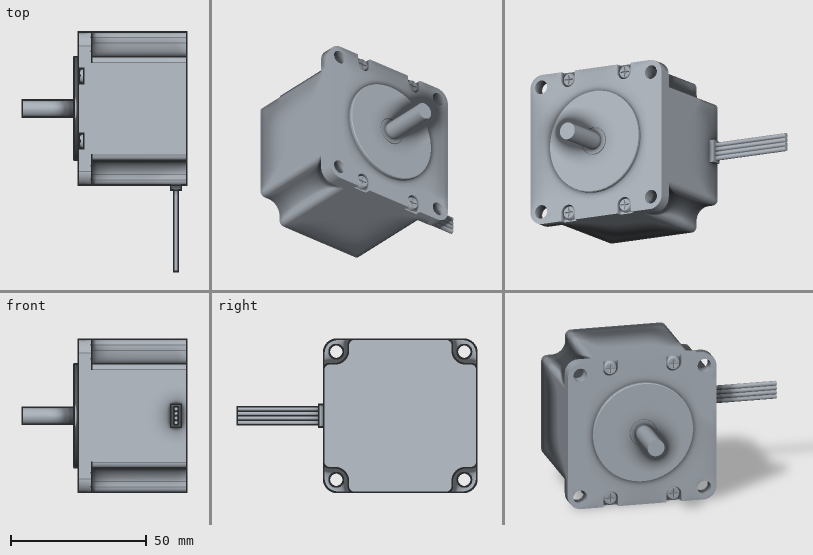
import cadquery as cq


body_width = 56.4
half_width = body_width / 2
body_length = 40.0
flange_thickness = 5.0
flange_corner_radius = 5.0
mount_hole_diameter = 5.1
mount_hole_spacing = 47.1

relief_inset = 11.1
relief_edge_radius = 2.0
relief_arc_radius = 5.0

pilot_diameter = 38.1
pilot_height = 1.6
pilot_chamfer = 0.3
shaft_diameter = 6.35
shaft_reach = 20.55
bearing_diameter = 9.7
bearing_bore_diameter = 10.4
bearing_gap_depth = 0.4

screw_spacing = 24.0
screw_edge_distance = 3.1
pocket_width = 5.65
pocket_depth = 2.1
screw_head_diameter = 5.4
screw_face_diameter = 4.2
screw_head_height = 1.7
screw_dome_bulge = 0.2
cross_length = 3.7
cross_width = 0.4
cross_depth = 0.8
dimple_diameter = 2.65
dimple_floor_diameter = 0.8
dimple_depth = 0.2

connector_length = 4.0
connector_height = 8.3
connector_depth = 1.85
connector_back_distance = 4.0
wire_count = 4
wire_pitch = 1.7
wire_diameter = 1.8
overall_depth = 88.2


def cylinder(start_x, end_x, diameter):
    """Round bar on the motor axis between two X positions."""
    return cq.Workplane("YZ", origin=(start_x, 0, 0)).circle(diameter / 2).extrude(end_x - start_x)


def make_corner_relief():
    """Material removed from the +Y +Z body corner: a hollow arc between two walls with rounded edges."""
    rim = half_width
    edge_start = rim - relief_inset
    wall = edge_start + relief_edge_radius
    edge_end = rim - relief_edge_radius
    arc_center = wall + relief_arc_radius
    diagonal = 0.5 ** 0.5
    edge_mid = relief_edge_radius * diagonal
    arc_mid = arc_center - relief_arc_radius * diagonal
    return (
        cq.Workplane("YZ", origin=(flange_thickness, 0, 0))
        .moveTo(edge_start, rim)
        .threePointArc((edge_start + edge_mid, edge_end + edge_mid), (wall, edge_end))
        .lineTo(wall, arc_center)
        .threePointArc((arc_mid, arc_mid), (arc_center, wall))
        .lineTo(edge_end, wall)
        .threePointArc((edge_end + edge_mid, edge_start + edge_mid), (rim, edge_start))
        .lineTo(rim, rim)
        .close()
        .extrude(body_length - flange_thickness)
    )


def make_body():
    """Rounded flange with mounting holes, and the body with its relieved corners behind it."""
    flange = (
        cq.Workplane("YZ")
        .rect(body_width, body_width)
        .extrude(flange_thickness)
        .edges("|X")
        .fillet(flange_corner_radius)
        .faces("<X")
        .workplane(origin=(0, 0, 0))
        .rect(mount_hole_spacing, mount_hole_spacing, forConstruction=True)
        .vertices()
        .hole(mount_hole_diameter)
    )
    housing = (
        cq.Workplane("YZ", origin=(flange_thickness, 0, 0))
        .rect(body_width, body_width)
        .extrude(body_length - flange_thickness)
    )
    relief = make_corner_relief()
    for quarter_turn in range(4):
        housing = housing.cut(relief.rotate((0, 0, 0), (1, 0, 0), 90 * quarter_turn))
    return flange.union(housing)


def make_pilot_and_shaft():
    """Chamfered pilot boss, a thin ring gap around the bearing, and the shaft."""
    pilot = cylinder(-pilot_height, 0, pilot_diameter).faces("<X").chamfer(pilot_chamfer)
    gap_end = bearing_gap_depth - pilot_height
    bearing_gap = cylinder(-pilot_height, gap_end, bearing_bore_diameter).cut(
        cylinder(-pilot_height, gap_end, bearing_diameter)
    )
    return pilot.cut(bearing_gap).union(cylinder(-shaft_reach, 0, shaft_diameter))


def make_screw_pocket():
    """Pocket open at the +Z edge of the flange, centered on Y = 0 with a round lower end."""
    half_pocket = pocket_width / 2
    center_z = half_width - screw_edge_distance
    return (
        cq.Workplane("YZ")
        .moveTo(-half_pocket, half_width)
        .lineTo(-half_pocket, center_z)
        .threePointArc((0, center_z - half_pocket), (half_pocket, center_z))
        .lineTo(half_pocket, half_width)
        .close()
        .extrude(pocket_depth)
    )


def make_screw():
    """Domed head on the pocket floor, with a cross recess and a shallow tapered center dimple."""
    center_z = half_width - screw_edge_distance
    head_front = pocket_depth - screw_head_height
    base_radius = screw_head_diameter / 2
    face_radius = screw_face_diameter / 2
    head = (
        cq.Workplane("XY", origin=(head_front, 0, center_z))
        .lineTo(0, face_radius)
        .threePointArc(
            (screw_head_height / 2, (base_radius + face_radius) / 2 + screw_dome_bulge),
            (screw_head_height, base_radius),
        )
        .lineTo(screw_head_height, 0)
        .close()
        .revolve(360, (0, 0, 0), (1, 0, 0))
    )
    recess_plane = cq.Workplane("YZ", origin=(head_front, 0, center_z))
    recess = recess_plane.rect(cross_length, cross_width).extrude(cross_depth)
    recess = recess.union(recess_plane.rect(cross_width, cross_length).extrude(cross_depth))
    dimple = (
        recess_plane.circle(dimple_diameter / 2)
        .workplane(offset=dimple_depth)
        .circle(dimple_floor_diameter / 2)
        .loft()
    )
    return head.cut(recess).cut(dimple)


def add_screws(motor):
    """Two screws in their pockets along the top edge and two along the bottom edge."""
    pocket = make_screw_pocket()
    screw = make_screw()
    for turn in (0, 180):
        for side in (-1, 1):
            offset = (0, side * screw_spacing / 2, 0)
            motor = motor.cut(pocket.translate(offset).rotate((0, 0, 0), (1, 0, 0), turn))
            motor = motor.union(screw.translate(offset).rotate((0, 0, 0), (1, 0, 0), turn))
    return motor


def add_connector(motor):
    """Connector block on the -Y side with a flat row of lead wires stacked along Z."""
    center_x = body_length - connector_back_distance
    side_plane = cq.Workplane("XZ", origin=(center_x, -half_width, 0))
    motor = motor.union(side_plane.rect(connector_length, connector_height).extrude(connector_depth))
    wire_length = overall_depth - body_width
    for index in range(wire_count):
        wire_z = (index - (wire_count - 1) / 2) * wire_pitch
        motor = motor.union(side_plane.center(0, wire_z).circle(wire_diameter / 2).extrude(wire_length))
    return motor


motor = make_body().union(make_pilot_and_shaft())
motor = add_screws(motor)
result = add_connector(motor)